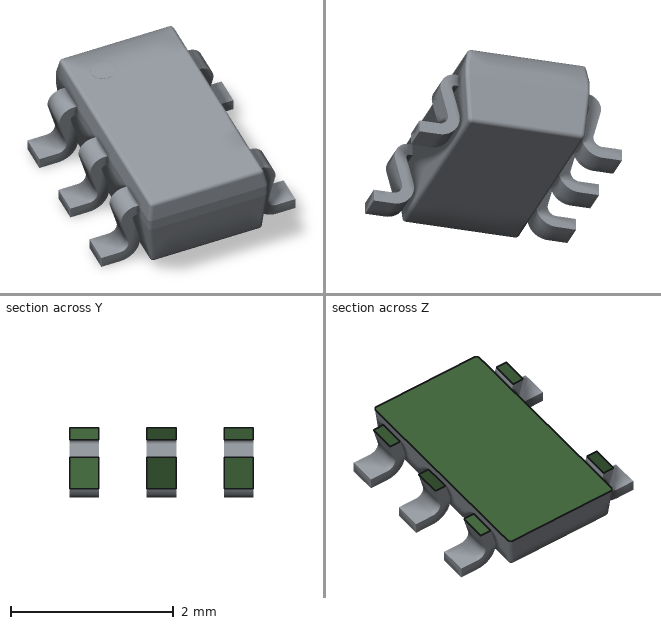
import cadquery as cq
import math


lead_span = 2.6
lead_width = 0.362
lead_thickness = 0.15
lead_pitch = 0.95
foot_length = 0.252
foot_bend_radius = 0.113
shoulder_bend_radius = 0.04
leg_lean = math.radians(15)

housing_length = 2.9
housing_width = 1.6
housing_bottom = 0.1
housing_top = 1.095
belt_bottom = 0.708
belt_top = belt_bottom + lead_thickness
upper_draft = 10.0
lower_draft = 5.0
edge_radius = 0.05

mark_diameter = 0.3
mark_height = 0.003
mark_inset = 0.45


def make_layer(base_z, height, draft=0):
    """Rectangular layer with rounded upright corners; a negative height grows it downward."""
    return (
        cq.Workplane("XY", origin=(0, 0, base_z))
        .rect(housing_length, housing_width)
        .extrude(height, taper=draft)
        .edges("not(#Z)")
        .fillet(edge_radius)
    )


def make_housing():
    belt = make_layer(belt_bottom, lead_thickness)
    upper = make_layer(belt_top, housing_top - belt_top, upper_draft)
    upper = upper.faces(">Z").edges().fillet(edge_radius)
    lower = make_layer(belt_bottom, housing_bottom - belt_bottom, lower_draft)
    lower = lower.faces("<Z").edges().fillet(edge_radius)
    shell = belt.union(upper).union(lower)

    mark_x = mark_inset - housing_length / 2
    mark_y = mark_inset - housing_width / 2
    mark = (
        cq.Workplane("XY", origin=(mark_x, mark_y, housing_top))
        .circle(mark_diameter / 2)
        .extrude(mark_height)
    )
    return shell.union(mark).solids()


def make_lead():
    """Lead on the +Y side at X = 0: a rectangle swept along its centre line from foot to wall."""
    lower_radius = foot_bend_radius + lead_thickness / 2
    upper_radius = shoulder_bend_radius + lead_thickness / 2
    lean_sin = math.sin(leg_lean)
    lean_cos = math.cos(leg_lean)

    foot_z = lead_thickness / 2
    shoulder_z = belt_bottom + lead_thickness / 2
    leg_bottom_z = foot_z + lower_radius * (1 + lean_sin)
    leg_top_z = shoulder_z - upper_radius * (1 + lean_sin)

    tip_y = lead_span / 2
    foot_bend_y = tip_y - foot_length
    leg_bottom_y = foot_bend_y - lower_radius * lean_cos
    leg_top_y = leg_bottom_y + (leg_top_z - leg_bottom_z) * math.tan(leg_lean)
    shoulder_bend_y = leg_top_y - upper_radius * lean_cos
    wall_y = housing_width / 2

    centre_line = (
        cq.Workplane("YZ")
        .moveTo(tip_y, foot_z)
        .lineTo(foot_bend_y, foot_z)
        .tangentArcPoint((leg_bottom_y, leg_bottom_z), relative=False)
        .lineTo(leg_top_y, leg_top_z)
        .tangentArcPoint((shoulder_bend_y, shoulder_z), relative=False)
        .lineTo(wall_y, shoulder_z)
    )
    section = cq.Workplane("XZ", origin=(0, tip_y, foot_z)).rect(lead_width, lead_thickness)
    return section.sweep(centre_line)


def make_leads():
    """Three leads on the -Y side and the two outer ones on the +Y side."""
    back_lead = make_lead()
    front_lead = back_lead.mirror("XZ")
    leads = [front_lead.translate((i * lead_pitch, 0, 0)) for i in (-1, 0, 1)]
    leads += [back_lead.translate((i * lead_pitch, 0, 0)) for i in (-1, 1)]
    return leads


housing = make_housing()
leads = make_leads()

result = cq.Compound.makeCompound([housing.val(), *[lead.val() for lead in leads]])